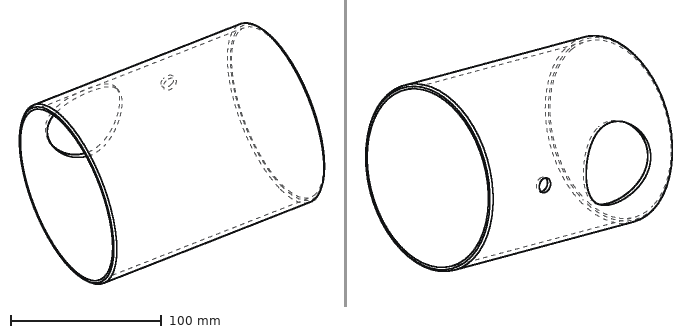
import cadquery as cq

length = 161.8
outer_diameter = 127.0
wall = 3.0
end_chamfer = 1.5

window_diameter = 57.1
window_y = -31.7
pin_hole_diameter = 10.0
pin_hole_y = 33.5

outer_radius = outer_diameter / 2
inner_radius = outer_radius - wall


def make_tube():
    """Thin tube with its outer end edges chamfered."""
    end_plane = cq.Workplane("XZ", origin=(0, length / 2, 0))
    body = end_plane.circle(outer_radius).extrude(length)
    body = body.faces("<Y or >Y").chamfer(end_chamfer)
    bore = end_plane.circle(inner_radius).extrude(length)
    return body.cut(bore)


def side_cutter(diameter, y):
    """Radial cylinder from the tube axis out through the -X wall."""
    return cq.Workplane("YZ").center(y, 0).circle(diameter / 2).extrude(-outer_diameter)


result = (
    make_tube()
    .cut(side_cutter(window_diameter, window_y))
    .cut(side_cutter(pin_hole_diameter, pin_hole_y))
)